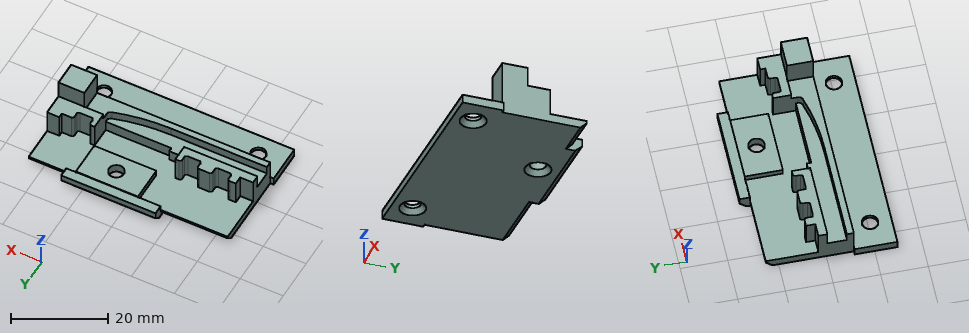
import cadquery as cq
import math


flange_length = 48.0
flange_depth = 9.0
body_length = 46.4
body_depth = 18.5
plate_height = 1.9
body_chamfer = 1.4
body_left = -body_length / 2
body_right = body_length / 2

hole_diameter = 3.4
flange_hole_spacing = 36.0
countersink_diameter = 5.6
countersink_depth = (countersink_diameter - hole_diameter) / 2

tab_left = -7.55
tab_length = 22.0
tab_overhang = 2.2
tab_height = 3.0
tab_chamfer_depth = 1.5
tab_chamfer_height = 1.4
boss_left = -2.3
boss_length = 14.5
boss_depth = 8.0
boss_height = 3.2
boss_hole_x = 4.9
boss_hole_y = body_depth - boss_depth / 2

ledge_height = 4.5
ledge_step_x = -2.6
ledge_step_depth = 4.6
wall_height = 6.5
wall_thickness = 1.45
channel_end_x = 12.7
ramp_start_x = -0.8
ramp_radius = 46.0
ramp_corner_radius = 1.0

rib_front = 5.55
rib_valley_y = 7.45
rib_crest_y = 9.4
rib_height = 7.7
left_rib_end = -6.1
left_tooth_start = -20.2
right_step_x = 20.35
right_step_y = body_depth - boss_depth
notch_width = 3.7
notch_radius = 0.5
left_notch_centers = (-16.4, -9.3)
right_notch_center = 15.8
block_left = 17.15
block_height = 12.0


def box(x_min, x_max, y_min, y_max, z_max, z_min=0.0):
    """Axis-aligned block between the given limits."""
    size = (x_max - x_min, y_max - y_min, z_max - z_min)
    return cq.Workplane("XY").box(*size, centered=False).translate((x_min, y_min, z_min))


def rear_chamfered_slab(x_min, length, rear_y, height, chamfer_depth, chamfer_height):
    """Slab from the front of the body to rear_y, with its lower rear edge bevelled."""
    profile = [
        (0, 0),
        (rear_y - chamfer_depth, 0),
        (rear_y, chamfer_height),
        (rear_y, height),
        (0, height),
    ]
    return cq.Workplane("YZ").polyline(profile).close().extrude(length).translate((x_min, 0, 0))


def make_base():
    """Body plate with the flange along its front."""
    body = rear_chamfered_slab(
        body_left, body_length, body_depth, plate_height, body_chamfer, body_chamfer
    )
    flange = box(-flange_length / 2, flange_length / 2, -flange_depth, 0, plate_height)
    return body.union(flange)


def make_tab():
    """Tab standing out of the rear edge; its front face lies on the rear of the body."""
    rear_y = body_depth + tab_overhang
    slab = rear_chamfered_slab(
        tab_left, tab_length, rear_y, tab_height, tab_chamfer_depth, tab_chamfer_height
    )
    above_plate = box(tab_left, tab_left + tab_length, 0, body_depth, tab_height, plate_height)
    return slab.cut(above_plate)


def make_boss():
    """Raised pad around the rear screw hole."""
    return box(
        boss_left, boss_left + boss_length, body_depth - boss_depth, body_depth, boss_height, plate_height
    )


def make_ledge():
    """Channel floor, narrower to the right of its step."""
    wide = box(body_left, ledge_step_x, 0, rib_front, ledge_height)
    narrow = box(ledge_step_x, channel_end_x, 0, ledge_step_depth, ledge_height)
    return wide.union(narrow)


def make_front_wall():
    """Front wall that curves inward along a tangent arc and closes the channel on the right."""
    sweep = math.asin((channel_end_x - ramp_start_x) / ramp_radius)
    ramp_end_y = wall_thickness + ramp_radius * (1 - math.cos(sweep))
    wall = (
        cq.Workplane("XY")
        .moveTo(body_left, 0)
        .lineTo(body_right, 0)
        .lineTo(body_right, rib_front)
        .lineTo(channel_end_x, rib_front)
        .lineTo(channel_end_x, ramp_end_y)
        .radiusArc((ramp_start_x, wall_thickness), ramp_radius)
        .lineTo(body_left, wall_thickness)
        .close()
        .extrude(wall_height)
    )
    corner = cq.selectors.NearestToPointSelector((channel_end_x, ramp_end_y, wall_height / 2))
    return wall.edges("|Z").edges(corner).fillet(ramp_corner_radius)


def cut_notch(rib, center_x):
    """Cut a notch with rounded floor corners and rounded mouth corners into a rib."""
    half_width = notch_width / 2
    notch = box(center_x - half_width, center_x + half_width, rib_valley_y, rib_crest_y, rib_height)
    notched = rib.cut(notch)
    for x in (center_x - half_width, center_x + half_width):
        for y in (rib_valley_y, rib_crest_y):
            corner = cq.selectors.NearestToPointSelector((x, y, rib_height / 2))
            notched = notched.edges("|Z").edges(corner).fillet(notch_radius)
    return notched


def make_left_rib():
    """Toothed rib on the left, thinner at its outer end."""
    rib = box(body_left, left_rib_end, rib_front, rib_valley_y, rib_height)
    rib = rib.union(box(left_tooth_start, left_rib_end, rib_front, rib_crest_y, rib_height))
    for center_x in left_notch_centers:
        rib = cut_notch(rib, center_x)
    return rib


def make_right_rib():
    """Toothed rib on the right, thicker at its outer end."""
    rib = box(channel_end_x, body_right, rib_front, rib_crest_y, rib_height)
    rib = rib.union(box(right_step_x, body_right, rib_front, right_step_y, rib_height))
    return cut_notch(rib, right_notch_center)


def make_end_block():
    """Tall stop block at the right end."""
    return box(block_left, body_right, 0, rib_front, block_height)


def make_holes():
    """Through holes countersunk from below: two in the flange and one in the boss."""
    centers = [
        (-flange_hole_spacing / 2, -flange_depth / 2),
        (flange_hole_spacing / 2, -flange_depth / 2),
        (boss_hole_x, boss_hole_y),
    ]
    shank_radius = hole_diameter / 2
    screw_space = (
        cq.Workplane("XZ")
        .polyline(
            [
                (0, 0),
                (countersink_diameter / 2, 0),
                (shank_radius, countersink_depth),
                (shank_radius, block_height),
                (0, block_height),
            ]
        )
        .close()
        .revolve(360, (0, 0), (0, 1))
    )
    holes = cq.Workplane("XY")
    for x, y in centers:
        holes = holes.add(screw_space.translate((x, y, 0)))
    return holes.combine()


result = (
    make_base()
    .union(make_tab())
    .union(make_boss())
    .union(make_ledge())
    .union(make_front_wall())
    .union(make_left_rib())
    .union(make_right_rib())
    .union(make_end_block())
    .cut(make_holes())
)